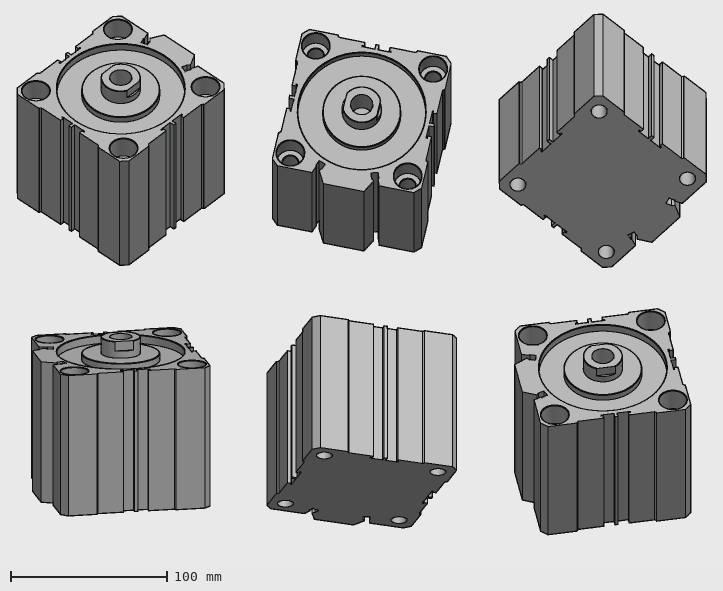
import cadquery as cq
import math

housing_width = 98.0
housing_height = 93.5
half_width = housing_width / 2
corner_chamfer = 4.2

face_setback = 1.5
face_offset = half_width - face_setback
pad_inner_edge = 25.9
pad_step = 0.5
pad_bevel = face_setback - pad_step

groove_half_width = 8.2
groove_undercut = 1.4
groove_depth = 3.2
groove_lip = 2.5
rib_half_width = 1.0

overall_depth = 104.0
rail_top = overall_depth - half_width
rail_half_width = 13.3
rail_flank_foot = (17.9, 46.4)
slot_outer_wall_top = 22.0
slot_inner_wall_top = (16.2, 44.9)
slot_floor_inner = (15.1, 41.3)
slot_floor_outer = (19.3, 39.8)
slot_lip_lower = (20.7, 43.7)
slot_lip_upper = (20.2, 43.9)

recess_radius = 41.0
recess_depth = 5.5
hub_radius = 25.1
hub_drop = 0.9
edge_chamfer = 0.4

mount_offset = 38.5
mount_radius = 5.1
counterbore_radius = 8.8
counterbore_depth = 15.6

rod_radius = 12.6
rod_rise = 10.0
rod_chamfer = 0.3
rod_top = housing_height + rod_rise
rod_seat_depth = 15.1
hub_top = housing_height - hub_drop
rod_bottom = hub_top - rod_seat_depth
flat_offset = 11.0
flat_height = 6.2
rod_hole_radius = 7.1
rod_hole_depth = 20.8


def mirrored(half):
    """Outline from +u to -u, from its points on the +u side."""
    return half + [(-u, v) for u, v in reversed(half)]


def turned(points, angle):
    """Points (along the side, outward from the axis) turned about Z, from the +Y side."""
    c = math.cos(math.radians(angle))
    s = math.sin(math.radians(angle))
    return [(u * c - v * s, u * s + v * c) for u, v in points]


def grooved_side():
    lip_offset = face_offset - groove_lip
    floor_offset = face_offset - groove_depth
    undercut_edge = groove_half_width + groove_undercut
    return mirrored([
        (half_width - corner_chamfer, half_width),
        (pad_inner_edge, half_width),
        (pad_inner_edge, half_width - pad_step),
        (pad_inner_edge - pad_bevel, face_offset),
        (groove_half_width, face_offset),
        (groove_half_width, lip_offset),
        (undercut_edge, lip_offset),
        (undercut_edge, floor_offset),
        (rib_half_width, floor_offset),
        (rib_half_width, face_offset),
    ])


def rail_side():
    return mirrored([
        (half_width - corner_chamfer, half_width),
        (slot_outer_wall_top, half_width),
        slot_lip_upper,
        slot_lip_lower,
        slot_floor_outer,
        slot_floor_inner,
        slot_inner_wall_top,
        rail_flank_foot,
        (rail_half_width, rail_top),
    ])


def chamfered_bore(radius, top, depth):
    """Cutter for a round bore going down from `top`, with a chamfered mouth."""
    return (
        cq.Workplane("XZ")
        .moveTo(0, top)
        .lineTo(radius + edge_chamfer, top)
        .lineTo(radius, top - edge_chamfer)
        .lineTo(radius, top - depth)
        .lineTo(0, top - depth)
        .close()
        .revolve(360, (0, 0, 0), (0, 1, 0))
    )


def mounting_hole():
    floor = housing_height - counterbore_depth
    counterbore = chamfered_bore(counterbore_radius, housing_height, counterbore_depth)
    return counterbore.union(chamfered_bore(mount_radius, floor, floor))


def make_housing():
    outline = rail_side()
    for angle in (90, 180, 270):
        outline += turned(grooved_side(), angle)
    body = cq.Workplane("XY").polyline(outline).close().extrude(housing_height)

    body = body.cut(chamfered_bore(recess_radius, housing_height, recess_depth))
    recess_floor = housing_height - recess_depth
    hub = (
        cq.Workplane("XY", origin=(0, 0, recess_floor))
        .circle(hub_radius)
        .extrude(hub_top - recess_floor)
        .faces(">Z")
        .chamfer(edge_chamfer)
    )
    body = body.union(hub)

    hole = mounting_hole()
    for x in (-mount_offset, mount_offset):
        for y in (-mount_offset, mount_offset):
            body = body.cut(hole.translate((x, y, 0)))

    rod_seat = (
        cq.Workplane("XY", origin=(0, 0, rod_bottom))
        .circle(rod_radius)
        .extrude(rod_seat_depth)
    )
    return body.cut(rod_seat)


def make_rod():
    rod = (
        cq.Workplane("XY", origin=(0, 0, rod_bottom))
        .circle(rod_radius)
        .extrude(rod_top - rod_bottom)
        .faces(">Z")
        .chamfer(rod_chamfer)
    )

    flat_depth = rod_radius - flat_offset
    for side in (-1, 1):
        flat = cq.Workplane("XY").box(flat_depth, 2 * rod_radius, flat_height)
        flat_x = side * (flat_offset + flat_depth / 2)
        rod = rod.cut(flat.translate((flat_x, 0, rod_top - flat_height / 2)))

    hole = (
        cq.Workplane("XY", origin=(0, 0, rod_top - rod_hole_depth))
        .circle(rod_hole_radius)
        .extrude(rod_hole_depth)
    )
    return rod.cut(hole)


housing = make_housing()
rod = make_rod()

result = cq.Compound.makeCompound([housing.val(), rod.val()])